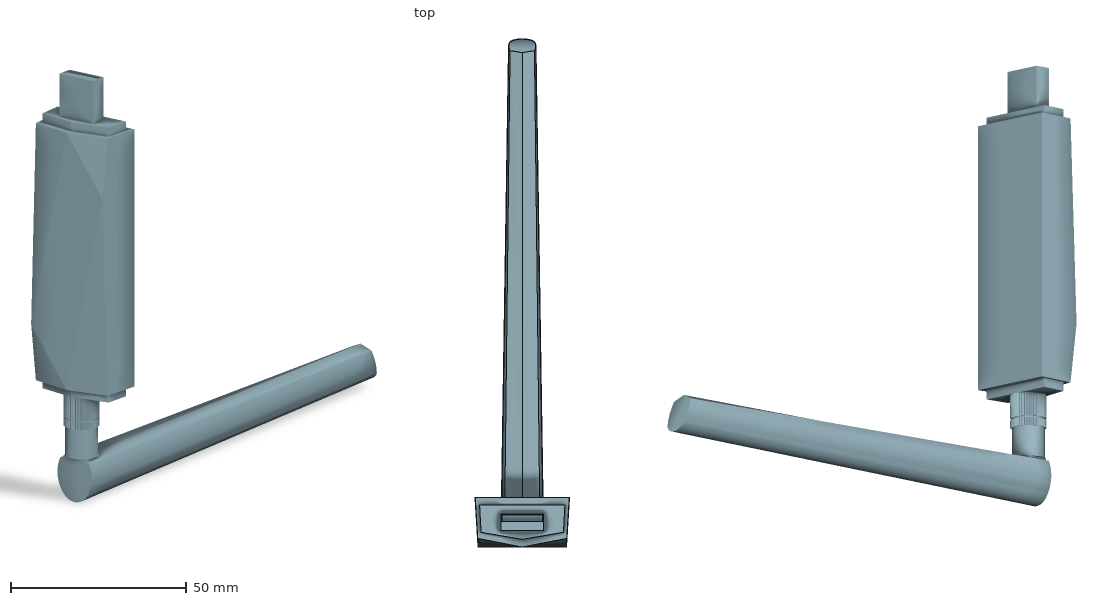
import cadquery as cq
import math


overall_height = 126.7

shell_height = 76.9
shell_back_y = 7.1
shell_front_y = -7.1
shell_back_half_width = 13.5
shell_front_half_width = 12.6
shell_shoulder_y = -4.6
facet_corner_height = 17.4

cap_height = 2.6
cap_back_y = 5.0
cap_shoulder_y = -2.9
cap_front_y = -5.0
cap_back_half_width = 12.2
cap_shoulder_half_width = 11.8

plug_width = 12.2
plug_thickness = 4.8
plug_length = 12.8
plug_wall = 0.3
plug_opening_depth = 8.7
tongue_back_y = 0.1

knurl_diameter = 10.3
barrel_diameter = 9.5
knurl_count = 40
nut_length = 6.8
nut_groove_width = 0.5
nut_ring_length = 2.3
barrel_length = 8.9

antenna_start_y = -3.3
antenna_end_y = 138.0
tip_setback = 3.9
neck_half_width = 3.9
neck_height = 0.7

nut_top_z = -cap_height
groove_top_z = nut_top_z - nut_length
ring_top_z = groove_top_z - nut_groove_width
barrel_top_z = ring_top_z - nut_ring_length
barrel_end_z = barrel_top_z - barrel_length
antenna_top_z = barrel_end_z - neck_height
plug_base_z = shell_height + cap_height
antenna_bottom_z = plug_base_z + plug_length - overall_height

root_section = {
    "ridge_z": antenna_top_z,
    "eave_z": antenna_top_z - 0.1,
    "eave_x": 5.1,
    "belly_z": -26.3,
    "belly_x": 6.1,
    "hip_z": -32.6,
    "hip_x": 3.8,
    "bottom_z": antenna_bottom_z,
}
tip_section = {
    "ridge_z": -21.0,
    "eave_z": -22.6,
    "eave_x": 3.5,
    "belly_z": -26.1,
    "belly_x": 3.9,
    "hip_z": -29.9,
    "hip_x": 3.5,
    "bottom_z": -32.2,
}


def polyhedron(faces):
    """Solid bounded by flat faces, each given by its corner points in order."""
    sides = [cq.Face.makeFromWires(cq.Wire.makePolygon(points, close=True)) for points in faces]
    return cq.Workplane(obj=cq.Solid.makeSolid(cq.Shell.makeShell(sides)))


def shell_half_width(y):
    """Half width of the shell, which narrows evenly from its back to its front."""
    share = (shell_back_y - y) / (shell_back_y - shell_front_y)
    return shell_back_half_width + share * (shell_front_half_width - shell_back_half_width)


def make_shell():
    """Shell with a front of one flat parallelogram and four slanted triangles."""

    def end_points(z):
        shoulder = shell_half_width(shell_shoulder_y)
        return [
            (-shell_back_half_width, shell_back_y, z),
            (-shoulder, shell_shoulder_y, z),
            (0, shell_front_y, z),
            (shoulder, shell_shoulder_y, z),
            (shell_back_half_width, shell_back_y, z),
        ]

    bottom = end_points(0)
    top = end_points(shell_height)
    back_left_low, left_low, apex_low, right_low, back_right_low = bottom
    back_left_high, left_high, apex_high, right_high, back_right_high = top
    left_corner = (-shell_front_half_width, shell_front_y, facet_corner_height)
    right_corner = (shell_front_half_width, shell_front_y, shell_height - facet_corner_height)
    return polyhedron([
        bottom,
        top,
        [back_left_low, back_right_low, back_right_high, back_left_high],
        [back_left_low, left_low, left_corner, left_high, back_left_high],
        [back_right_low, right_low, right_corner, right_high, back_right_high],
        [apex_low, right_corner, apex_high, left_corner],
        [apex_low, left_low, left_corner],
        [apex_high, left_high, left_corner],
        [apex_low, right_low, right_corner],
        [apex_high, right_high, right_corner],
    ])


def make_cap(base_z):
    """Cap with a pointed front, from base_z upward."""
    outline = [
        (-cap_back_half_width, cap_back_y),
        (-cap_shoulder_half_width, cap_shoulder_y),
        (0, cap_front_y),
        (cap_shoulder_half_width, cap_shoulder_y),
        (cap_back_half_width, cap_back_y),
    ]
    return cq.Workplane("XY").workplane(offset=base_z).polyline(outline).close().extrude(cap_height)


def make_plug():
    """USB plug, open at the top behind its tongue."""
    plug = (
        cq.Workplane("XY")
        .workplane(offset=plug_base_z)
        .rect(plug_width, plug_thickness)
        .extrude(plug_length)
    )
    opening_back_y = plug_thickness / 2 - plug_wall
    opening = (
        cq.Workplane("XY")
        .workplane(offset=plug_base_z + plug_length)
        .center(0, (opening_back_y + tongue_back_y) / 2)
        .rect(plug_width - 2 * plug_wall, opening_back_y - tongue_back_y)
        .extrude(-plug_opening_depth)
    )
    return plug.cut(opening)


def make_housing():
    lower_cap = make_cap(-cap_height)
    upper_cap = make_cap(shell_height)
    return make_shell().union(lower_cap).union(upper_cap).union(make_plug())


def make_knurl(top_z, length):
    """Ring of pointed lengthwise ridges, from top_z downward."""
    half_pitch = math.pi / knurl_count
    outline = []
    for i in range(2 * knurl_count):
        radius = (knurl_diameter if i % 2 == 0 else barrel_diameter) / 2
        outline.append((radius * math.cos(i * half_pitch), radius * math.sin(i * half_pitch)))
    return cq.Workplane("XY").workplane(offset=top_z).polyline(outline).close().extrude(-length)


def make_connector():
    """Barrel that carries a knurled nut and a narrow knurled ring."""
    barrel = (
        cq.Workplane("XY")
        .workplane(offset=barrel_end_z)
        .circle(barrel_diameter / 2)
        .extrude(nut_top_z - barrel_end_z)
    )
    nut = make_knurl(nut_top_z, nut_length)
    ring = make_knurl(ring_top_z, nut_ring_length)
    return barrel.union(nut).union(ring)


def antenna_wire(section, bottom_y, setback):
    """Closed section with a ridged top, bowed sides and a round bottom.

    Its top lies behind its bottom by the setback, so the section can slant.
    """
    height = section["ridge_z"] - section["bottom_z"]

    def point(x, z):
        return cq.Vector(x, bottom_y - setback * (z - section["bottom_z"]) / height, z)

    ridge = point(0, section["ridge_z"])
    bottom = point(0, section["bottom_z"])
    right_eave, left_eave = [point(s * section["eave_x"], section["eave_z"]) for s in (1, -1)]
    right_belly, left_belly = [point(s * section["belly_x"], section["belly_z"]) for s in (1, -1)]
    right_hip, left_hip = [point(s * section["hip_x"], section["hip_z"]) for s in (1, -1)]
    return cq.Wire.assembleEdges([
        cq.Edge.makeLine(ridge, right_eave),
        cq.Edge.makeThreePointArc(right_eave, right_belly, right_hip),
        cq.Edge.makeThreePointArc(right_hip, bottom, left_hip),
        cq.Edge.makeThreePointArc(left_hip, left_belly, left_eave),
        cq.Edge.makeLine(left_eave, ridge),
    ])


def make_antenna():
    """Tapered blade with a rectangular neck that meets the connector."""
    root = antenna_wire(root_section, antenna_start_y, 0)
    tip = antenna_wire(tip_section, antenna_end_y, tip_setback)
    blade = cq.Workplane(obj=cq.Solid.makeLoft([root, tip], True))
    neck_root_z = root_section["belly_z"]
    neck = (
        cq.Workplane("XY")
        .workplane(offset=neck_root_z)
        .rect(2 * neck_half_width, -2 * antenna_start_y)
        .extrude(barrel_end_z - neck_root_z)
    )
    return blade.union(neck)


housing = make_housing()
connector = make_connector()
antenna = make_antenna()

result = cq.Compound.makeCompound([housing.val(), connector.val(), antenna.val()])